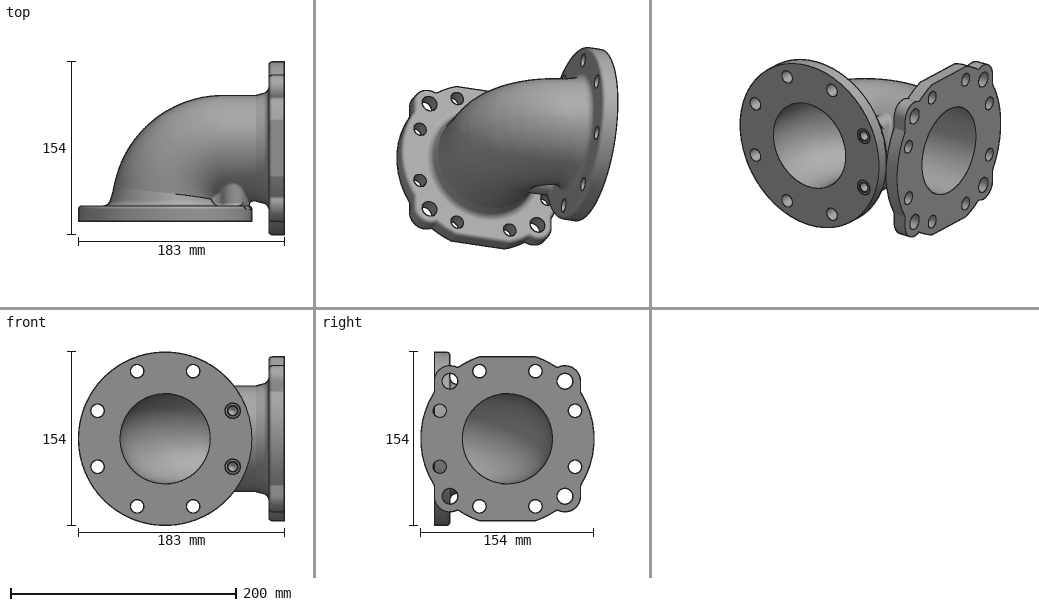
import cadquery as cq
import math


PIPE_RADIUS = 47.0
BORE_RADIUS = 40.0
BEND_RADIUS = 51.6
INLET_FACE_Y = -65.0
OUTLET_FACE_X = 106.0

FLANGE_RADIUS = 77.0
FLANGE_THICKNESS = 13.9
FLANGE_EDGE_RADIUS = 3.3
FLAT_HALF_HEIGHT = 72.8
BOLT_CIRCLE_RADIUS = 65.0
BOLT_COUNT = 8
BOLT_PITCH = 360 / BOLT_COUNT
BOLT_HOLE_DIAMETER = 11.7

LUG_OFFSET = 51.0
LUG_RADIUS = 13.9
LUG_HOLE_DIAMETER = 13.9
LUG_BLEND_RADIUS = 3.0

NECK_ANGLE = 15
NECK_FILLET = 6.0
NECK_FOOT_RADIUS = 48.9
NECK_ROOT = 1.8
INLET_NECK_END_RADIUS = 43.4

BOSS_RADIUS = 10.0
PAD_OUTER_RADIUS = BOLT_CIRCLE_RADIUS + BOSS_RADIUS
PAD_BLEND_RADIUS = 8.5
PAD_END_Y = -27.5
PAD_FILLET = 2.4

INSERT_ANGLE = BOLT_PITCH / 2
INSERT_POSITIONS = (0, BOLT_COUNT - 1)
SEAT_DIAMETER = 13.9
INSERT_DIAMETER = 13.2
INSERT_LENGTH = 16.5
INSERT_BORE = 8.5
INSERT_CHAMFER = 0.5
PILOT_DEPTH = 21.0
DRILL_TIP_ANGLE = 118

FLANGE_BACK_Y = INLET_FACE_Y + FLANGE_THICKNESS
FLANGE_BACK_X = OUTLET_FACE_X - FLANGE_THICKNESS
PAD_ROOT_Y = FLANGE_BACK_Y - FLANGE_EDGE_RADIUS
INSERT_X = BOLT_CIRCLE_RADIUS * math.cos(math.radians(INSERT_ANGLE))
INSERT_Z = BOLT_CIRCLE_RADIUS * math.sin(math.radians(INSERT_ANGLE))
INSERT_HEIGHTS = (INSERT_Z, -INSERT_Z)


def polar(radius, degrees):
    """Point at a radius and an angle from the first axis."""
    return radius * math.cos(math.radians(degrees)), radius * math.sin(math.radians(degrees))


def inlet_plane(y):
    """Plane normal to the inlet axis, with local axes X and Z and its normal along -Y."""
    return cq.Workplane("XZ", origin=(0, y, 0))


def outlet_plane(x):
    """Plane normal to the outlet axis, with local axes Y and Z and its normal along +X."""
    return cq.Workplane("YZ", origin=(x, 0, 0))


def elbow(radius):
    """Round bar that follows the elbow's centre line from the inlet face to the outlet face."""
    bend_start = BEND_RADIUS * (1 - math.sqrt(0.5))
    centre_line = (
        cq.Workplane("XY")
        .moveTo(0, INLET_FACE_Y)
        .lineTo(0, -BEND_RADIUS)
        .threePointArc((bend_start, -bend_start), (BEND_RADIUS, 0))
        .lineTo(OUTLET_FACE_X, 0)
    )
    return inlet_plane(INLET_FACE_Y).circle(radius).sweep(centre_line)


def neck(end_radius):
    """Cone that stands on a flange back at Y = 0, with a fillet at its foot, and narrows along +Y."""
    slope = math.radians(NECK_ANGLE)
    foot_y = NECK_FILLET * (1 - math.sin(slope))
    rim_radius = NECK_FOOT_RADIUS + NECK_FILLET * math.cos(slope)
    end_y = foot_y + (NECK_FOOT_RADIUS - end_radius) / math.tan(slope)
    arc_middle = math.radians(45 - NECK_ANGLE / 2)
    return (
        cq.Workplane("XY")
        .moveTo(0, -NECK_ROOT)
        .lineTo(rim_radius, -NECK_ROOT)
        .lineTo(rim_radius, 0)
        .threePointArc(
            (
                rim_radius - NECK_FILLET * math.sin(arc_middle),
                NECK_FILLET * (1 - math.cos(arc_middle)),
            ),
            (NECK_FOOT_RADIUS, foot_y),
        )
        .lineTo(end_radius, end_y)
        .lineTo(0, end_y)
        .close()
        .revolve(360, (0, 0, 0), (0, 1, 0))
    )


def inlet_flange():
    """Round flange with a rounded back edge."""
    disc = inlet_plane(INLET_FACE_Y).circle(FLANGE_RADIUS).extrude(-FLANGE_THICKNESS)
    return disc.faces(">Y").edges().fillet(FLANGE_EDGE_RADIUS)


def lug():
    """Outlet flange lug in the +Y, +Z corner, with one straight side facing +Y."""
    plane = outlet_plane(FLANGE_BACK_X)
    head = plane.center(LUG_OFFSET, LUG_OFFSET).circle(LUG_RADIUS).extrude(FLANGE_THICKNESS)
    side = (
        plane.center(LUG_OFFSET + LUG_RADIUS / 2, LUG_OFFSET / 2)
        .rect(LUG_RADIUS, LUG_OFFSET)
        .extrude(FLANGE_THICKNESS)
    )
    return head.union(side)


def outlet_flange():
    """Round flange with top and bottom flats, four corner lugs and a rounded back edge."""
    plane = outlet_plane(FLANGE_BACK_X)
    flange = plane.circle(FLANGE_RADIUS).extrude(FLANGE_THICKNESS)
    flats = plane.rect(2 * FLANGE_RADIUS, 2 * FLAT_HALF_HEIGHT).extrude(FLANGE_THICKNESS)
    flange = flange.intersect(flats)
    upper_lugs = lug().union(lug().mirror("XZ"))
    flange = flange.union(upper_lugs).union(upper_lugs.mirror("XY"))
    corners = flange.edges("|X").filter(lambda edge: not math.isclose(abs(edge.Center().z), LUG_OFFSET))
    flange = corners.fillet(LUG_BLEND_RADIUS)
    return flange.faces("<X").edges().fillet(FLANGE_EDGE_RADIUS)


def pad_outline():
    """Outline behind the inserts: a boss around each, an arc joining them and concave inner blends."""
    blend_centre_radius = PIPE_RADIUS + PAD_BLEND_RADIUS
    boss_to_blend = BOSS_RADIUS + PAD_BLEND_RADIUS
    blend_angle = INSERT_ANGLE + math.degrees(
        math.acos(
            (blend_centre_radius**2 + BOLT_CIRCLE_RADIUS**2 - boss_to_blend**2)
            / (2 * blend_centre_radius * BOLT_CIRCLE_RADIUS)
        )
    )
    blend_x, blend_z = polar(blend_centre_radius, blend_angle)
    to_boss = math.degrees(math.atan2(INSERT_Z - blend_z, INSERT_X - blend_x))
    boss_mid_angle = (INSERT_ANGLE + 180 + to_boss) / 2
    blend_mid_angle = (blend_angle - 180 + to_boss) / 2

    def on_boss(degrees):
        x, z = polar(BOSS_RADIUS, degrees)
        return INSERT_X + x, INSERT_Z + z

    def on_blend(degrees):
        x, z = polar(PAD_BLEND_RADIUS, degrees)
        return blend_x + x, blend_z + z

    def below(point):
        return point[0], -point[1]

    outer = on_boss(INSERT_ANGLE)
    boss_middle = on_boss(boss_mid_angle)
    boss_end = on_blend(to_boss)
    blend_middle = on_blend(blend_mid_angle)
    blend_end = polar(PIPE_RADIUS, blend_angle)
    return (
        inlet_plane(PAD_ROOT_Y)
        .moveTo(*below(outer))
        .threePointArc((PAD_OUTER_RADIUS, 0), outer)
        .threePointArc(boss_middle, boss_end)
        .threePointArc(blend_middle, blend_end)
        .lineTo(*below(blend_end))
        .threePointArc(below(blend_middle), below(boss_end))
        .threePointArc(below(boss_middle), below(outer))
        .close()
    )


def pad():
    """Straight-sided pad behind the inserts."""
    return pad_outline().extrude(PAD_ROOT_Y - PAD_END_Y)


def pad_foot():
    """Fillet around the foot of the pad, kept within the pad's outer arc and rooted in the flange."""
    top_y = FLANGE_BACK_Y + PAD_FILLET
    plate_size = 4 * FLANGE_RADIUS
    plate = inlet_plane(PAD_ROOT_Y).rect(plate_size, plate_size).extrude(-FLANGE_EDGE_RADIUS)
    stepped = plate.union(pad())
    corner = cq.selectors.BoxSelector(
        (0, PAD_ROOT_Y + FLANGE_EDGE_RADIUS / 2, -FLANGE_RADIUS), (FLANGE_RADIUS, top_y, FLANGE_RADIUS)
    )
    foot = stepped.edges(corner).edges("not |Y").fillet(PAD_FILLET)
    spread = pad_outline().offset2D(2 * PAD_FILLET).extrude(PAD_ROOT_Y - top_y)
    limit = inlet_plane(PAD_ROOT_Y).circle(PAD_OUTER_RADIUS).extrude(PAD_ROOT_Y - top_y)
    return foot.intersect(spread.intersect(limit))


def pipe_with_pad():
    """Solid pipe with its inlet neck and the pad, blended where the pad meets the pipe."""
    inlet_neck = neck(INLET_NECK_END_RADIUS).translate((0, FLANGE_BACK_Y, 0))
    body = elbow(PIPE_RADIUS).union(inlet_neck).union(pad())
    boss_top_z = INSERT_Z + BOSS_RADIUS
    boss_top_y = -math.sqrt(PIPE_RADIUS**2 - boss_top_z**2)
    junction = cq.selectors.NearestToPointSelector((INSERT_X, boss_top_y, boss_top_z))
    return body.edges(junction).fillet(PAD_FILLET)


def bolt_holes(plane, skipped, depth):
    """Bolt hole cutters around a flange, without those at the skipped positions."""
    points = [
        polar(BOLT_CIRCLE_RADIUS, (index + 0.5) * BOLT_PITCH)
        for index in range(BOLT_COUNT)
        if index not in skipped
    ]
    return plane.pushPoints(points).circle(BOLT_HOLE_DIAMETER / 2).extrude(depth)


def lug_holes():
    """Cutters for the hole in each corner lug."""
    return (
        outlet_plane(FLANGE_BACK_X)
        .rect(2 * LUG_OFFSET, 2 * LUG_OFFSET, forConstruction=True)
        .vertices()
        .circle(LUG_HOLE_DIAMETER / 2)
        .extrude(FLANGE_THICKNESS)
    )


def insert_hole(z):
    """Cutter for an insert seat with a pilot hole beyond it that ends in a drill cone."""
    pilot_radius = INSERT_BORE / 2
    tip_length = pilot_radius / math.tan(math.radians(DRILL_TIP_ANGLE / 2))
    return (
        cq.Workplane("XY", origin=(INSERT_X, INLET_FACE_Y, z))
        .lineTo(SEAT_DIAMETER / 2, 0)
        .lineTo(SEAT_DIAMETER / 2, INSERT_LENGTH)
        .lineTo(pilot_radius, INSERT_LENGTH)
        .lineTo(pilot_radius, PILOT_DEPTH)
        .lineTo(0, PILOT_DEPTH + tip_length)
        .close()
        .revolve(360, (0, 0, 0), (0, 1, 0))
    )


def make_housing():
    """Elbow with its two flanges, necks, insert pad and holes."""
    outlet_neck = (
        neck(PIPE_RADIUS)
        .rotate((0, 0, 0), (0, 0, 1), 90)
        .translate((FLANGE_BACK_X, 0, 0))
    )
    body = pipe_with_pad().union(outlet_neck)
    body = body.union(inlet_flange()).union(pad_foot()).union(outlet_flange())
    body = body.cut(elbow(BORE_RADIUS))
    body = body.cut(bolt_holes(inlet_plane(INLET_FACE_Y), INSERT_POSITIONS, -FLANGE_THICKNESS))
    body = body.cut(bolt_holes(outlet_plane(OUTLET_FACE_X), (), -FLANGE_THICKNESS))
    body = body.cut(lug_holes())
    for z in INSERT_HEIGHTS:
        body = body.cut(insert_hole(z))
    return body


def make_insert(z):
    """Sleeve flush with the inlet face, its bore chamfered at the open end."""
    sleeve = (
        cq.Workplane("XZ", origin=(INSERT_X, INLET_FACE_Y, z))
        .circle(INSERT_DIAMETER / 2)
        .circle(INSERT_BORE / 2)
        .extrude(-INSERT_LENGTH)
    )
    bore_rim = sleeve.faces("<Y").edges(cq.selectors.RadiusNthSelector(0))
    return bore_rim.chamfer(INSERT_CHAMFER)


housing = make_housing()
inserts = [make_insert(z) for z in INSERT_HEIGHTS]

result = cq.Compound.makeCompound([housing.val(), *[insert.val() for insert in inserts]])